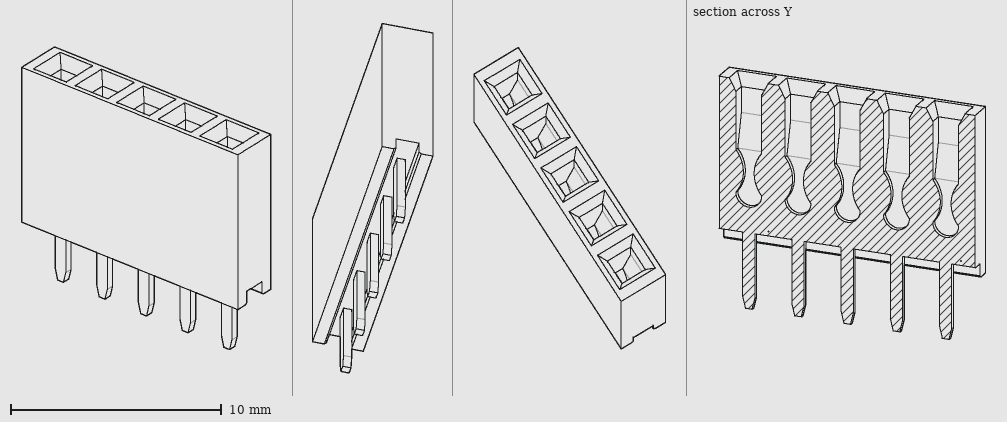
import cadquery as cq
import math

LENGTH = 13.2
WIDTH = 2.5
HEIGHT = 8.5

CONTACTS = 5
PITCH = 2.53

CHANNEL_WIDTH = 1.12
CHANNEL_DEPTH = 0.71
CHANNEL_CHAMFER = 0.1

PIN_LENGTH = 3.15
PIN_WIDTH = 0.65
PIN_THICKNESS = 0.41
TIP_WIDTH = 0.35
TIP_LENGTH = 0.6

MOUTH_SIZE = 1.99
SHAFT_SIZE = 1.31
FUNNEL_DEPTH = 0.65
SHAFT_DEPTH = 1.32
WEDGE_ANGLE = 15.2
wedge_depth = (SHAFT_SIZE - PIN_THICKNESS) / 2 / math.tan(math.radians(WEDGE_ANGLE))
shaft_top = HEIGHT - FUNNEL_DEPTH
wedge_top = shaft_top - SHAFT_DEPTH
wedge_bottom = wedge_top - wedge_depth

THROAT_WIDTH = 0.53
LIP_RADIUS = 1.72
gap_radius = SHAFT_SIZE / 2
lip_bulge = gap_radius - THROAT_WIDTH / 2
lip_half_height = math.sqrt(LIP_RADIUS**2 - (LIP_RADIUS - lip_bulge) ** 2)
throat_z = wedge_bottom - lip_half_height
lip_bottom = throat_z - lip_half_height

first_contact_x = -PITCH * (CONTACTS - 1) / 2
contact_positions = [first_contact_x + i * PITCH for i in range(CONTACTS)]


def make_housing():
    """Block with a channel through its underside, the lower channel edges chamfered."""
    block = cq.Workplane("XY").box(LENGTH, WIDTH, HEIGHT, centered=(True, True, False))
    half_width = CHANNEL_WIDTH / 2
    flared_half_width = half_width + CHANNEL_CHAMFER
    channel = (
        cq.Workplane("YZ")
        .moveTo(-flared_half_width, 0)
        .lineTo(-half_width, CHANNEL_CHAMFER)
        .lineTo(-half_width, CHANNEL_DEPTH)
        .lineTo(half_width, CHANNEL_DEPTH)
        .lineTo(half_width, CHANNEL_CHAMFER)
        .lineTo(flared_half_width, 0)
        .close()
        .extrude(LENGTH / 2, both=True)
    )
    return block.cut(channel)


def make_pin():
    """Flat pin from the channel roof down, narrowing in X at its tip."""
    half_width = PIN_WIDTH / 2
    half_tip = TIP_WIDTH / 2
    shoulder_z = TIP_LENGTH - PIN_LENGTH
    return (
        cq.Workplane("XZ")
        .moveTo(-half_width, CHANNEL_DEPTH)
        .lineTo(half_width, CHANNEL_DEPTH)
        .lineTo(half_width, shoulder_z)
        .lineTo(half_tip, -PIN_LENGTH)
        .lineTo(-half_tip, -PIN_LENGTH)
        .lineTo(-half_width, shoulder_z)
        .close()
        .extrude(PIN_THICKNESS / 2, both=True)
    )


def make_socket():
    """Volume to remove for one socket, from the mouth down to the bottom of the contact gap."""
    funnel = (
        cq.Workplane("XY", origin=(0, 0, shaft_top))
        .rect(SHAFT_SIZE, SHAFT_SIZE)
        .workplane(offset=FUNNEL_DEPTH)
        .rect(MOUTH_SIZE, MOUTH_SIZE)
        .loft(ruled=True)
    )
    half_shaft = SHAFT_SIZE / 2
    half_gap = PIN_THICKNESS / 2
    shaft_and_wedge = (
        cq.Workplane("YZ")
        .moveTo(-half_shaft, shaft_top)
        .lineTo(-half_shaft, wedge_top)
        .lineTo(-half_gap, wedge_bottom)
        .lineTo(half_gap, wedge_bottom)
        .lineTo(half_shaft, wedge_top)
        .lineTo(half_shaft, shaft_top)
        .close()
        .extrude(SHAFT_SIZE / 2, both=True)
    )
    contact_gap = (
        cq.Workplane("XZ")
        .moveTo(-gap_radius, wedge_bottom)
        .threePointArc((-THROAT_WIDTH / 2, throat_z), (-gap_radius, lip_bottom))
        .threePointArc((0, lip_bottom - gap_radius), (gap_radius, lip_bottom))
        .threePointArc((THROAT_WIDTH / 2, throat_z), (gap_radius, wedge_bottom))
        .close()
        .extrude(PIN_THICKNESS / 2, both=True)
    )
    return funnel.union(shaft_and_wedge).union(contact_gap)


result = make_housing()
pin = make_pin()
socket = make_socket()
for x in contact_positions:
    result = result.cut(socket.translate((x, 0, 0)))
    result = result.union(pin.translate((x, 0, 0)))